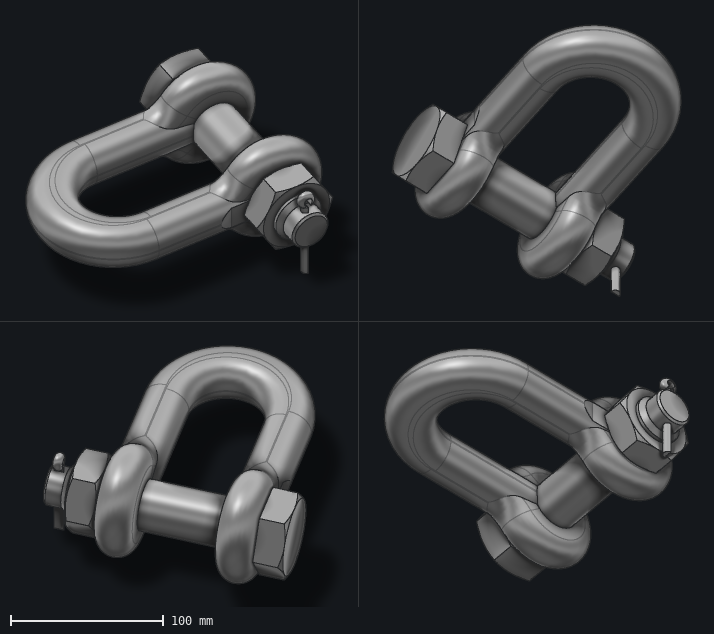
import cadquery as cq
import math


bow_thickness = 32.0
bow_flat_half = 0.4
leg_spacing_half = 41.5
outer_bend_y = -94.8
inner_bend_y = -91.4
leg_half = bow_thickness / 2
bow_outer_x = leg_spacing_half + leg_half
bow_inner_x = leg_spacing_half - leg_half

eye_radius = 38.0
shank_radius = 17.5
eye_half_width = 13.7
eye_draft = math.radians(5)
neck_radius = 22.0
pad_end_y = -37.9
ramp_end_y = -46.8

head_height = 19.5
head_across_flats = 52.4
nut_height = 20.0
nut_across_flats = 50.8
hex_chamfer_angle = math.radians(30)
eye_outer_x = leg_spacing_half + eye_half_width
head_end_x = -eye_outer_x - head_height
shank_end_x = 81.3
tip_radius = 13.9
tip_end_x = 93.7
tip_chamfer = 1.5

cotter_x = 86.8
wire_radius = 3.33
cotter_bottom_z = -40.0
cotter_leg_top_z = 18.3
ring_radius = 6.3
ring_centre_z = 22.8
ring_start = 120
ring_sweep = 300


def make_u_bar():
    """U bar of legs and bend, with all four long edges rounded."""
    outer_bottom_y = outer_bend_y - bow_outer_x
    inner_bottom_y = inner_bend_y - bow_inner_x
    outline = (
        cq.Workplane("XY")
        .workplane(offset=-leg_half)
        .moveTo(-bow_outer_x, 0)
        .lineTo(-bow_outer_x, outer_bend_y)
        .threePointArc((0, outer_bottom_y), (bow_outer_x, outer_bend_y))
        .lineTo(bow_outer_x, 0)
        .lineTo(bow_inner_x, 0)
        .lineTo(bow_inner_x, inner_bend_y)
        .threePointArc((0, inner_bottom_y), (-bow_inner_x, inner_bend_y))
        .lineTo(-bow_inner_x, 0)
        .close()
    )
    bar = outline.extrude(bow_thickness)
    return bar.faces("<Z or >Z").edges("not >Y").fillet(leg_half - bow_flat_half)


def cut_pad(bar, side):
    """Cut a flat pad and a ramp on the outer side of one leg, facing the head or the nut."""
    pad_x = side * eye_outer_x
    leg_x = side * bow_outer_x
    waste = (
        cq.Workplane("XY")
        .workplane(offset=-leg_half)
        .polyline([(pad_x, 0), (pad_x, pad_end_y), (leg_x, ramp_end_y), (leg_x, 0)])
        .close()
        .extrude(bow_thickness)
    )
    return bar.cut(waste)


def eye_section(centre_x, base):
    """Drafted eye section with a rounded rim; its hole side is at Y = base."""
    height = eye_radius - shank_radius
    slope = math.tan(eye_draft)
    rim_radius = (eye_half_width - slope * height) / (1 / math.cos(eye_draft) - slope)
    tangent_x = rim_radius * math.cos(eye_draft)
    tangent_y = base + height - rim_radius + rim_radius * math.sin(eye_draft)
    return (
        cq.Workplane("XY")
        .moveTo(centre_x - eye_half_width, base)
        .lineTo(centre_x - tangent_x, tangent_y)
        .threePointArc((centre_x, base + height), (centre_x + tangent_x, tangent_y))
        .lineTo(centre_x + eye_half_width, base)
        .close()
    )


def make_eye(centre_x):
    """Ring around the bolt axis."""
    return eye_section(centre_x, shank_radius).revolve(360, (0, 0, 0), (1, 0, 0))


def make_neck(centre_x):
    """Upper blend from eye to leg: the eye section swept along the concave neck arc."""
    axis_z = leg_half + neck_radius
    axis_y = -math.sqrt((eye_radius + neck_radius) ** 2 - axis_z ** 2)
    sweep = math.degrees(math.atan2(-axis_y, axis_z))
    section_base = -(neck_radius + eye_radius - shank_radius)
    neck = eye_section(centre_x, section_base).revolve(sweep, (0, 0, 0), (1, 0, 0))
    return neck.rotate((0, 0, 0), (1, 0, 0), 90).translate((0, axis_y, axis_z))


def make_bow():
    bow = make_u_bar()
    for side in (-1, 1):
        centre_x = side * leg_spacing_half
        upper_neck = make_neck(centre_x)
        bow = cut_pad(bow, side)
        bow = bow.union(make_eye(centre_x)).union(upper_neck).union(upper_neck.mirror("XY"))
    hole = cq.Workplane("YZ").circle(shank_radius).extrude(bow_outer_x, both=True)
    return bow.cut(hole)


def make_hexagon(start_x, end_x, across_flats, chamfer_both_ends):
    """Hexagon with corners on +Y and -Y, chamfered on the start end or on both ends."""
    corner_radius = across_flats / 2 / math.cos(math.pi / 6)
    face_radius = across_flats / 2
    chamfer = (corner_radius - face_radius) * math.tan(hex_chamfer_angle)
    envelope = (
        cq.Workplane("XY")
        .moveTo(start_x, 0)
        .lineTo(start_x, face_radius)
        .lineTo(start_x + chamfer, corner_radius)
    )
    if chamfer_both_ends:
        envelope = envelope.lineTo(end_x - chamfer, corner_radius).lineTo(end_x, face_radius)
    else:
        envelope = envelope.lineTo(end_x, corner_radius)
    envelope = envelope.lineTo(end_x, 0).close().revolve(360, (0, 0, 0), (1, 0, 0))
    prism = cq.Workplane("YZ").workplane(offset=start_x).polygon(6, 2 * corner_radius)
    return prism.extrude(end_x - start_x).intersect(envelope)


def make_shank():
    """Shank from the head to the thinner, chamfered tip."""
    shank = cq.Workplane("YZ").workplane(offset=-eye_outer_x).circle(shank_radius)
    shank = shank.extrude(shank_end_x + eye_outer_x).faces(">X").chamfer(shank_radius - tip_radius)
    tip = cq.Workplane("YZ").workplane(offset=shank_end_x).circle(tip_radius)
    tip = tip.extrude(tip_end_x - shank_end_x).faces(">X").chamfer(tip_chamfer)
    return shank.union(tip)


def half_round_section(flat_y):
    """Half disc of the cotter wire in the XY plane; its flat lies at flat_y and it bulges to -Y."""
    return (
        cq.Workplane("XY")
        .moveTo(cotter_x - wire_radius, flat_y)
        .threePointArc((cotter_x, flat_y - wire_radius), (cotter_x + wire_radius, flat_y))
        .close()
    )


def make_cotter():
    """Straight half-round leg with an open ring on top."""
    leg = half_round_section(0).extrude(cotter_leg_top_z - cotter_bottom_z)
    leg = leg.translate((0, 0, cotter_bottom_z))
    ring = half_round_section(wire_radius - ring_radius)
    ring = ring.revolve(ring_sweep, (0, 0, 0), (1, 0, 0))
    ring = ring.rotate((0, 0, 0), (1, 0, 0), ring_start).translate((0, 0, ring_centre_z))
    return leg.union(ring)


def make_bolt():
    """Bolt with its head, nut and cotter as one piece."""
    head = make_hexagon(head_end_x, -eye_outer_x, head_across_flats, False)
    nut = make_hexagon(eye_outer_x, eye_outer_x + nut_height, nut_across_flats, True)
    return head.union(make_shank()).union(nut).union(make_cotter())


bow = make_bow()
bolt = make_bolt()
result = cq.Compound.makeCompound([bow.val(), bolt.val()])